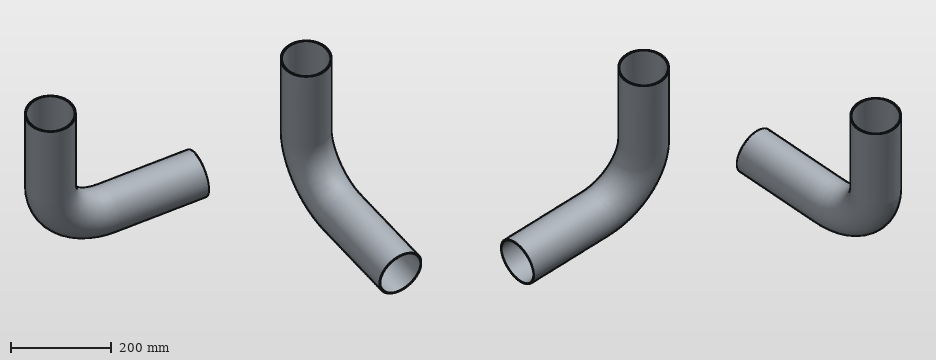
import cadquery as cq
import math

overall_length = 381.0
outer_diameter = 101.7
inner_diameter = 95.5
leg_length = 203.5

bend_radius = overall_length - leg_length - outer_diameter / 2

leg_end = bend_radius + leg_length
bend_mid_offset = bend_radius * (1 - math.sqrt(0.5))

centreline = (
    cq.Workplane("YZ")
    .moveTo(0, leg_end)
    .lineTo(0, bend_radius)
    .threePointArc((bend_mid_offset, bend_mid_offset), (bend_radius, 0))
    .lineTo(leg_end, 0)
)

result = (
    cq.Workplane("XY", origin=(0, 0, leg_end))
    .circle(outer_diameter / 2)
    .circle(inner_diameter / 2)
    .sweep(centreline)
)